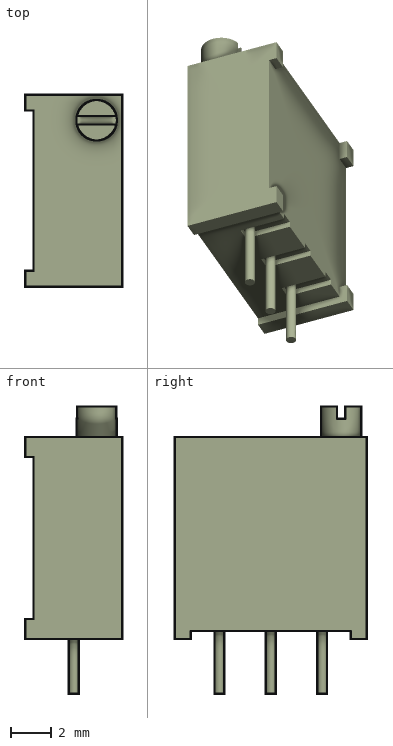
import cadquery as cq

LENGTH_X = 4.8
WIDTH_Y = 9.5
HEIGHT_Z = 10.0

PAD_DEPTH = 0.4
PAD_WIDTH = 0.8
PAD_HEIGHT = 1.0

STANDOFF = 0.4

SCREW_DIAMETER = 2.0
SCREW_HEIGHT = 1.5
SCREW_EDGE_DISTANCE = 1.27
SLOT_WIDTH = 0.4
SLOT_DEPTH = 0.6

PIN_DIAMETER = 0.5
PIN_LENGTH = 2.7
PIN_PITCH = 2.54
PIN_COUNT = 3

NOTCH_CLEARANCE = 0.1
NOTCH_WIDTH = PIN_DIAMETER + 2 * NOTCH_CLEARANCE
NOTCH_DEPTH = 0.3

FACE_X = -LENGTH_X / 2 + PAD_DEPTH
NOTCH_TOP_Z = STANDOFF + NOTCH_DEPTH
PIN_POSITIONS_Y = [(i - (PIN_COUNT - 1) / 2) * PIN_PITCH for i in range(PIN_COUNT)]


def block(x_range, y_range, z_range):
    """Box spanning the given (low, high) limits along each axis."""
    limits = (x_range, y_range, z_range)
    sizes = [high - low for low, high in limits]
    corner = tuple(low for low, high in limits)
    return cq.Workplane("XY").box(*sizes, centered=False).translate(corner)


def make_housing():
    """Block with four corner pads on -X and a relieved underside."""
    half_x = LENGTH_X / 2
    half_y = WIDTH_Y / 2
    inner_y = half_y - PAD_WIDTH
    housing = block((-half_x, half_x), (-half_y, half_y), (0, HEIGHT_Z))

    band_x = (-half_x, FACE_X)
    upright_band = block(band_x, (-inner_y, inner_y), (0, HEIGHT_Z))
    level_band = block(band_x, (-half_y, half_y), (PAD_HEIGHT, HEIGHT_Z - PAD_HEIGHT))
    relief = block((-half_x, half_x), (-inner_y, inner_y), (0, STANDOFF))
    return housing.cut(upright_band).cut(level_band).cut(relief)


def make_notch(pin_y):
    """Clearance volume running from the -X face to just past the pin."""
    half_width = NOTCH_WIDTH / 2
    return block(
        (FACE_X, half_width),
        (pin_y - half_width, pin_y + half_width),
        (STANDOFF, NOTCH_TOP_Z),
    )


def make_pin(pin_y):
    """Round pin from the roof of its notch down to the tip."""
    return (
        cq.Workplane("XY", origin=(0, pin_y, -PIN_LENGTH))
        .circle(PIN_DIAMETER / 2)
        .extrude(PIN_LENGTH + NOTCH_TOP_Z)
    )


def make_screw():
    """Slotted screw head in the +X, +Y corner of the top face."""
    screw_x = LENGTH_X / 2 - SCREW_EDGE_DISTANCE
    screw_y = WIDTH_Y / 2 - SCREW_EDGE_DISTANCE
    radius = SCREW_DIAMETER / 2
    top_z = HEIGHT_Z + SCREW_HEIGHT
    head = (
        cq.Workplane("XY", origin=(screw_x, screw_y, HEIGHT_Z))
        .circle(radius)
        .extrude(SCREW_HEIGHT)
    )
    slot = block(
        (screw_x - radius, screw_x + radius),
        (screw_y - SLOT_WIDTH / 2, screw_y + SLOT_WIDTH / 2),
        (top_z - SLOT_DEPTH, top_z),
    )
    return head.cut(slot)


result = make_housing().union(make_screw())
for y in PIN_POSITIONS_Y:
    result = result.cut(make_notch(y)).union(make_pin(y))